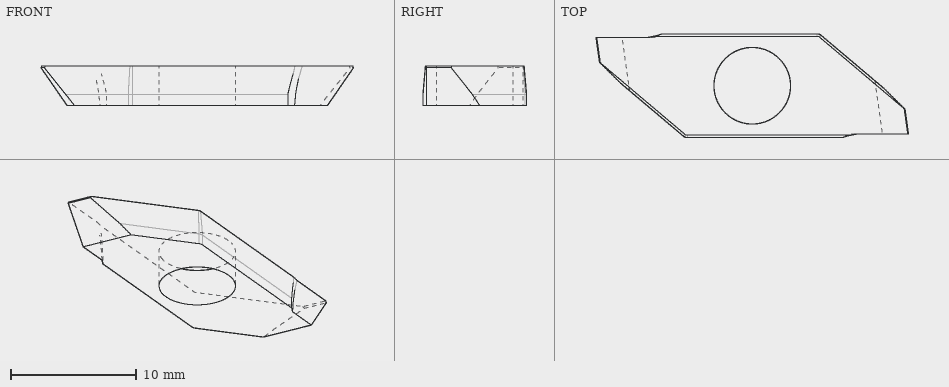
import cadquery as cq
import math

LENGTH = 25.0
WIDTH = 8.3
THICKNESS = 3.18
HOLE_DIAMETER = 6.11

STRAIGHT_HEIGHT = 0.9
FLANK_TAPER = 5.0
DIAGONAL_ANGLE = 40.2
DIAGONAL_OFFSET = 6.64
CORNER_RADIUS = 0.5

END_ANGLE = 8.0
END_UNDERCUT = 2.07
LAND_HEIGHT = 0.15
LAND_SETBACK = 0.07

RELIEF_Y = 3.86
RELIEF_SECTIONS = [
    (0.0, 7.24, 7.78),
    (STRAIGHT_HEIGHT, 7.24, 7.86),
    (THICKNESS, 7.80, 8.40),
]

HALF_LENGTH = LENGTH / 2
HALF_WIDTH = WIDTH / 2
CLEARANCE = 5.0
RUNOUT_REACH = 2.0


def body():
    """Parallelogram blank with straight lower flanks and tapered upper flanks."""
    angle = math.radians(DIAGONAL_ANGLE)
    diagonal_at_centre = DIAGONAL_OFFSET / math.sin(angle)
    shift = HALF_WIDTH / math.tan(angle)
    acute_x = diagonal_at_centre + shift
    obtuse_x = diagonal_at_centre - shift
    outline = [
        (-acute_x, HALF_WIDTH),
        (-obtuse_x, -HALF_WIDTH),
        (acute_x, -HALF_WIDTH),
        (obtuse_x, HALF_WIDTH),
    ]
    prism = cq.Workplane("XY").polyline(outline).close().extrude(STRAIGHT_HEIGHT)
    obtuse_corners = cq.selectors.BoxSelector(
        (-HALF_LENGTH, -WIDTH, 0), (HALF_LENGTH, WIDTH, THICKNESS)
    )
    lower = prism.edges("|Z").edges(obtuse_corners).fillet(CORNER_RADIUS)
    upper = (
        lower.faces(">Z")
        .wires()
        .toPending()
        .workplane()
        .extrude(THICKNESS - STRAIGHT_HEIGHT, combine=False, taper=FLANK_TAPER)
    )
    return lower.union(upper)


def end_cutter():
    """Material beyond the +X end face, with the narrow land along its top edge."""
    profile = [
        (-END_UNDERCUT, 0),
        (0, THICKNESS - LAND_HEIGHT),
        (-LAND_SETBACK, THICKNESS),
        (CLEARANCE, THICKNESS),
        (CLEARANCE, 0),
    ]
    cutter = cq.Workplane("XZ").polyline(profile).close().extrude(WIDTH, both=True)
    return cutter.rotate((0, 0, 0), (0, 0, 1), END_ANGLE).translate((HALF_LENGTH, -RELIEF_Y, 0))


def relief_section(height, flank_x, wall_x):
    """Horizontal section of the relief beside the +X tip.

    The run-out is a straight line from the flank to the relief wall,
    extended outwards past the flank.
    """
    lean = max(0, height - STRAIGHT_HEIGHT) * math.tan(math.radians(FLANK_TAPER))
    flank_y = HALF_WIDTH - lean
    run_x = (wall_x - flank_x) * RUNOUT_REACH
    run_y = (flank_y - RELIEF_Y) * RUNOUT_REACH
    far_x = HALF_LENGTH + CLEARANCE
    points = [
        (wall_x, -RELIEF_Y),
        (wall_x - run_x, -RELIEF_Y - run_y),
        (wall_x - run_x, -HALF_WIDTH - CLEARANCE),
        (far_x, -HALF_WIDTH - CLEARANCE),
        (far_x, -RELIEF_Y),
    ]
    return cq.Wire.makePolygon([cq.Vector(x, y, height) for x, y in points], close=True)


def relief_cutter():
    """Side relief beside the +X tip, lofted smoothly through its sections."""
    sections = [relief_section(*values) for values in RELIEF_SECTIONS]
    return cq.Workplane("XY").add(cq.Solid.makeLoft(sections))


def both_ends(cutter):
    """A cutter together with its copy half a turn about Z."""
    return [cutter, cutter.rotate((0, 0, 0), (0, 0, 1), 180)]


result = body()
for tool in both_ends(end_cutter()) + both_ends(relief_cutter()):
    result = result.cut(tool)

hole = cq.Workplane("XY").circle(HOLE_DIAMETER / 2).extrude(THICKNESS)
result = result.cut(hole)